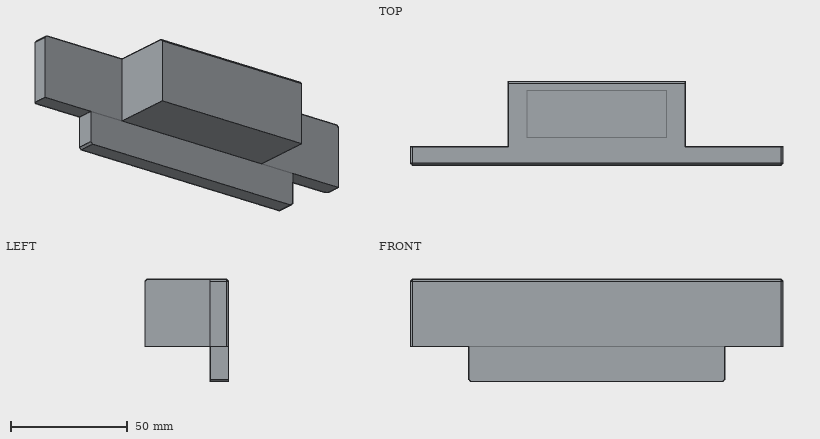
import cadquery as cq

plate_length = 160.0
plate_thickness = 8.0
plate_height = 29.0
edge_chamfer = 1.0

total_height = 44.0
lip_length = 110.0
lip_height = total_height - plate_height

total_depth = 36.0
block_depth = total_depth - plate_thickness

insert_length = 60.0
insert_width = 20.0
insert_depth = 4.0
insert_end_margin = 8.0
block_length = insert_length + 2 * insert_end_margin
insert_side_margin = (block_depth - insert_width) / 2


def box(length, depth, height, front=0.0, bottom=0.0):
    """Box centred on X, with its front face and bottom face at the given places."""
    return (
        cq.Workplane("XY")
        .box(length, depth, height, centered=(True, False, False))
        .translate((0, front, bottom))
    )


def make_plate():
    """Plate with chamfers on its front sides, front top edge and top ends."""
    plate = box(plate_length, plate_thickness, plate_height)
    return plate.edges("(<Y and |Z) or (<Y and >Z) or (>Z and |Y)").chamfer(edge_chamfer)


def make_block():
    """Block with a chamfered rear top edge."""
    block = box(block_length, block_depth, plate_height, front=plate_thickness)
    return block.edges(">Y and >Z").chamfer(edge_chamfer)


def make_lip():
    """Lip with its two lower corners chamfered."""
    lip = box(lip_length, plate_thickness, lip_height, bottom=-lip_height)
    return lip.edges("<Z and |Y").chamfer(edge_chamfer)


def make_insert():
    return box(
        insert_length,
        insert_width,
        insert_depth,
        front=plate_thickness + insert_side_margin,
        bottom=plate_height - insert_depth,
    )


body = make_plate().union(make_block(), clean=True)
result = body.union(make_lip(), clean=False).union(make_insert(), clean=False)